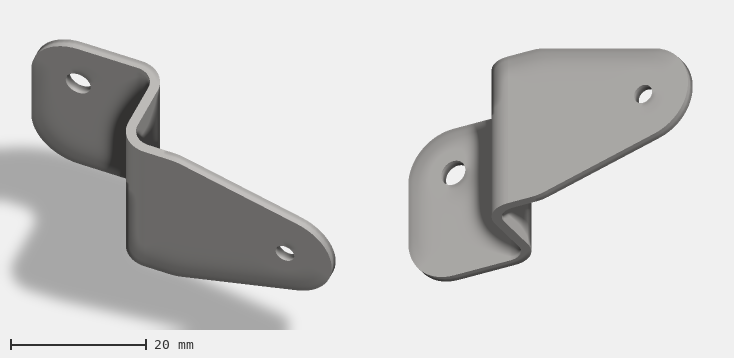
import cadquery as cq
import math

thickness = 1.5
height = 25.0
depth = 16.5
bend_inner_radius = 3.0
corner_radius = 7.5
web_x = 20.0
taper_start_x = 28.5
tip_center_x = 47.0
large_hole_diameter = 4.0
small_hole_diameter = 3.0

bend_outer_radius = bend_inner_radius + thickness
web_right_x = web_x + thickness
tip_x = tip_center_x + corner_radius
corner_z = height / 2 - corner_radius
taper_angle = math.atan2(corner_z, tip_center_x - taper_start_x)


def arc_point(center_x, center_z, angle):
    """Point on an outline rounding, at an angle measured from +Z toward +X."""
    x = center_x + corner_radius * math.sin(angle)
    z = center_z + corner_radius * math.cos(angle)
    return (x, z)


def mirrored(point):
    """The same point on the other side of the horizontal centreline."""
    return (point[0], -point[1])


def make_bent_sheet():
    """Z-shaped strip: rear flange, web and front flange joined by two bends."""
    strip = (
        cq.Workplane("XY")
        .moveTo(0, depth - thickness)
        .lineTo(web_x, depth - thickness)
        .lineTo(web_x, 0)
        .lineTo(tip_x, 0)
        .lineTo(tip_x, thickness)
        .lineTo(web_right_x, thickness)
        .lineTo(web_right_x, depth)
        .lineTo(0, depth)
        .close()
        .extrude(height / 2, both=True)
    )
    strip = round_edge(strip, web_x, depth - thickness, bend_inner_radius)
    strip = round_edge(strip, web_right_x, depth, bend_outer_radius)
    strip = round_edge(strip, web_right_x, thickness, bend_inner_radius)
    return round_edge(strip, web_x, 0, bend_outer_radius)


def round_edge(strip, x, y, radius):
    """Round the vertical edge that passes through (x, y)."""
    edge = cq.selectors.NearestToPointSelector((x, y, 0))
    return strip.edges("|Z").edges(edge).fillet(radius)


def make_outline():
    """Outline seen along Y, with rounded corners and a tapered tip, as deep as the part."""
    corner_side = (0, corner_z)
    corner_middle = arc_point(corner_radius, corner_z, -math.pi / 4)
    corner_top = arc_point(corner_radius, corner_z, 0)
    taper_start = arc_point(taper_start_x, corner_z, 0)
    taper_middle = arc_point(taper_start_x, corner_z, taper_angle / 2)
    taper_edge_start = arc_point(taper_start_x, corner_z, taper_angle)
    taper_edge_end = arc_point(tip_center_x, 0, taper_angle)
    return (
        cq.Workplane("XZ")
        .moveTo(*corner_side)
        .threePointArc(corner_middle, corner_top)
        .lineTo(*taper_start)
        .threePointArc(taper_middle, taper_edge_start)
        .lineTo(*taper_edge_end)
        .threePointArc((tip_x, 0), mirrored(taper_edge_end))
        .lineTo(*mirrored(taper_edge_start))
        .threePointArc(mirrored(taper_middle), mirrored(taper_start))
        .lineTo(*mirrored(corner_top))
        .threePointArc(mirrored(corner_middle), mirrored(corner_side))
        .close()
        .extrude(-depth)
    )


def make_hole(x, z, diameter):
    """Cylinder along Y that cuts a round hole through the flange at (x, z)."""
    return cq.Workplane("XZ").center(x, z).circle(diameter / 2).extrude(-depth)


large_hole = make_hole(corner_radius, corner_z, large_hole_diameter)
small_hole = make_hole(tip_center_x, 0, small_hole_diameter)

result = make_bent_sheet().intersect(make_outline()).cut(large_hole).cut(small_hole)